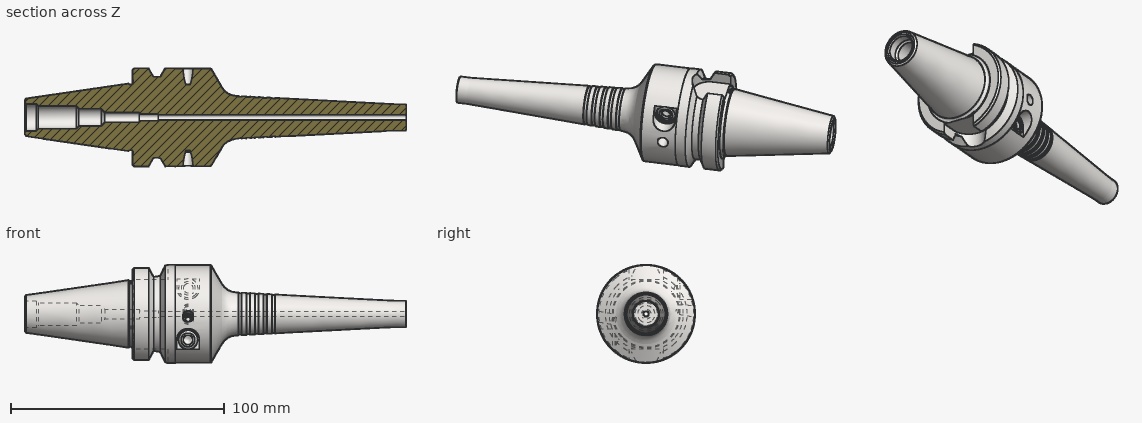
import cadquery as cq
import math

LENGTH = 178.4

TAPER_RATIO = 7 / 24
TAPER_LENGTH = 48.5
TAPER_LARGE_RADIUS = 15.9
TAPER_SMALL_RADIUS = TAPER_LARGE_RADIUS - TAPER_LENGTH * TAPER_RATIO / 2
SHANK_CHAMFER_LENGTH = 0.7
SHANK_CHAMFER_DEPTH = 0.9
RELIEF_RADIUS = 30.9 / 2
RELIEF_BEVEL = 0.5
RELIEF_FILLET = 1.0
FACE_RECESS_RADIUS = 17.3
FACE_RECESS_DEPTH = 0.4

FLANGE_RADIUS = 46.0 / 2
FLANGE_START = 50.3
FLANGE_CHAMFER = 0.9
GROOVE_EDGE_START = 58.0
GROOVE_EDGE_END = 65.7
GROOVE_ROOT_RADIUS = 19.0
GROOVE_FLANK_ANGLE = 30.0
GROOVE_FLANK = (FLANGE_RADIUS - GROOVE_ROOT_RADIUS) * math.tan(math.radians(GROOVE_FLANK_ANGLE))
FLANGE_END = 70.5

BODY_RADIUS = 45.8 / 2
BODY_END = 87.2
BODY_BEVEL_LENGTH = 0.5
BODY_BEVEL_DEPTH = 0.2
SHOULDER_ANGLE = 60.0
SHOULDER_FILLET = 8.0

NECK_HALF_ANGLE = 3.0
NOSE_RADIUS = 12.5 / 2
NOSE_LENGTH = 5.4
NOSE_START = LENGTH - NOSE_LENGTH
NOSE_CHAMFER = 0.4
NECK_SLOPE = math.tan(math.radians(NECK_HALF_ANGLE))

RING_COUNT = 5
RING_FIRST = 99.7
RING_PITCH = 4.0
RING_WIDTH = 1.8
RING_DEPTH = 0.27

SLOT_WIDTH = 16.0
SLOT_FLOOR = 16.2
SLOT_END = 66.9

POCKET_X = 76.4
POCKET_Z = 12.1
POCKET_DIAMETER = 10.5
POCKET_FLOOR = 15.9
SCREW_DIAMETER = 9.0
SCREW_TIP_DIAMETER = 6.5
SCREW_CHAMFER = (SCREW_DIAMETER - SCREW_TIP_DIAMETER) / 2
SOCKET_DIAMETER = 4.5
SOCKET_DEPTH = 1.8

SIDE_HOLE_DIAMETER = 5.0
SIDE_HOLE_Z = 1.0
SIDE_HOLE_DEPTH = 7.1
SIDE_HOLE_TILT = 10.0
SIDE_HOLE_LEAD_IN = 1.8
SIDE_STEP_DIAMETERS = (4.0, 2.3)
SIDE_STEP_DEPTH = 0.9

MOUTH_DIAMETER = 14.0
PILOT_DIAMETER = 12.5
PILOT_DEPTH = 5.4
THREAD_DIAMETER = 10.5
THREAD_DEPTH = 24.0
MIDDLE_DIAMETER = 8.0
MIDDLE_DEPTH = 35.7
INNER_DIAMETER = 4.5
INNER_DEPTH = 53.5
COOLANT_DIAMETER = 3.0
COOLANT_DEPTH = 62.5
THROUGH_DIAMETER = 2.3


def neck_radius(x):
    """Radius of the neck cone at position x."""
    return NOSE_RADIUS + (NOSE_START - x) * NECK_SLOPE


def revolve_about_x(points):
    return cq.Workplane("XY").polyline(points).close().revolve(360, (0, 0, 0), (1, 0, 0))


def circle_at(x, radius):
    """Selects the circular edge of this radius at position x."""
    margin = 0.09
    reach = radius + margin
    return cq.selectors.BoxSelector(
        (x - margin, -reach, -reach), (x + margin, reach, reach), boundingbox=True
    )


def turned_body():
    recess_floor = FLANGE_START + FACE_RECESS_DEPTH
    bevel_radius = BODY_RADIUS - BODY_BEVEL_DEPTH
    shoulder_slope = math.tan(math.radians(SHOULDER_ANGLE))
    neck_start = BODY_END + (bevel_radius - neck_radius(BODY_END)) / (shoulder_slope - NECK_SLOPE)
    points = [
        (0, 0),
        (0, TAPER_SMALL_RADIUS - SHANK_CHAMFER_DEPTH),
        (SHANK_CHAMFER_LENGTH, TAPER_SMALL_RADIUS + SHANK_CHAMFER_LENGTH * TAPER_RATIO / 2),
        (TAPER_LENGTH, TAPER_LARGE_RADIUS),
        (TAPER_LENGTH + RELIEF_BEVEL, RELIEF_RADIUS),
        (recess_floor, RELIEF_RADIUS),
        (recess_floor, FACE_RECESS_RADIUS),
        (FLANGE_START, FACE_RECESS_RADIUS),
        (FLANGE_START, FLANGE_RADIUS - FLANGE_CHAMFER),
        (FLANGE_START + FLANGE_CHAMFER, FLANGE_RADIUS),
        (GROOVE_EDGE_START, FLANGE_RADIUS),
        (GROOVE_EDGE_START + GROOVE_FLANK, GROOVE_ROOT_RADIUS),
        (GROOVE_EDGE_END - GROOVE_FLANK, GROOVE_ROOT_RADIUS),
        (GROOVE_EDGE_END, FLANGE_RADIUS),
        (FLANGE_END, FLANGE_RADIUS),
        (FLANGE_END, BODY_RADIUS),
        (BODY_END - BODY_BEVEL_LENGTH, BODY_RADIUS),
        (BODY_END, bevel_radius),
        (neck_start, neck_radius(neck_start)),
        (NOSE_START, NOSE_RADIUS),
        (LENGTH - NOSE_CHAMFER, NOSE_RADIUS),
        (LENGTH, NOSE_RADIUS - NOSE_CHAMFER),
        (LENGTH, 0),
    ]
    body = revolve_about_x(points)
    body = body.edges(circle_at(recess_floor, RELIEF_RADIUS)).fillet(RELIEF_FILLET)
    return body.edges(circle_at(neck_start, neck_radius(neck_start))).fillet(SHOULDER_FILLET)


def neck_ring(start):
    """Cutter for one ring groove, whose floor follows the neck cone."""
    end = start + RING_WIDTH
    top_clearance = 1.8
    return revolve_about_x([
        (start, neck_radius(start)),
        (start, neck_radius(start) + top_clearance),
        (end, neck_radius(end) + top_clearance),
        (end, neck_radius(end)),
        (end - RING_DEPTH, neck_radius(end) - RING_DEPTH),
        (start + RING_DEPTH, neck_radius(start) - RING_DEPTH),
    ])


def drive_slot():
    """Slot open towards the shank, with a round end, on the +Z side."""
    half = SLOT_WIDTH / 2
    return (
        cq.Workplane("XY", origin=(0, 0, SLOT_FLOOR))
        .moveTo(TAPER_LENGTH, -half)
        .lineTo(SLOT_END - half, -half)
        .threePointArc((SLOT_END, 0), (SLOT_END - half, half))
        .lineTo(TAPER_LENGTH, half)
        .close()
        .extrude(FLANGE_RADIUS)
    )


def screw_pocket():
    """U-shaped pocket on the -Y side, open downwards, with a flush socket screw in its floor."""
    half = POCKET_DIAMETER / 2
    pocket = (
        cq.Workplane("XZ", origin=(POCKET_X, -POCKET_FLOOR, -POCKET_Z))
        .moveTo(-half, -BODY_RADIUS)
        .lineTo(-half, 0)
        .threePointArc((0, half), (half, 0))
        .lineTo(half, -BODY_RADIUS)
        .close()
        .extrude(BODY_RADIUS)
    )
    cone_depth = SOCKET_DEPTH + SOCKET_DIAMETER / 4
    chamfer_gap = [
        (SCREW_TIP_DIAMETER / 2, 0),
        (SCREW_DIAMETER / 2, 0),
        (SCREW_DIAMETER / 2, SCREW_CHAMFER),
    ]
    socket = [(0, 0), (SOCKET_DIAMETER / 2, 0), (SOCKET_DIAMETER / 2, SOCKET_DEPTH), (0, cone_depth)]
    for section in (chamfer_gap, socket):
        cutter = cq.Workplane("XY").polyline(section).close().revolve(360, (0, 0, 0), (0, 1, 0))
        pocket = pocket.union(cutter.translate((POCKET_X, -POCKET_FLOOR, -POCKET_Z)))
    return pocket


def side_hole():
    """Stepped blind hole on the -Y side, sloping down into the body."""
    mouth = (POCKET_X, -BODY_RADIUS, -SIDE_HOLE_Z)
    hole = (
        cq.Workplane("XZ", origin=(0, SIDE_HOLE_DEPTH, 0))
        .circle(SIDE_HOLE_DIAMETER / 2)
        .extrude(SIDE_HOLE_DEPTH + SIDE_HOLE_LEAD_IN)
    )
    depth = SIDE_HOLE_DEPTH
    for diameter in SIDE_STEP_DIAMETERS:
        depth += SIDE_STEP_DEPTH
        step = cq.Workplane("XZ", origin=(0, depth, 0)).circle(diameter / 2).extrude(depth)
        hole = hole.union(step)
    return hole.rotate((0, 0, 0), (1, 0, 0), -SIDE_HOLE_TILT).translate(mouth)


def bore():
    """Stepped bore from the shank end, open through to the nose."""
    mouth_chamfer = (MOUTH_DIAMETER - PILOT_DIAMETER) / 2
    pilot_step = (PILOT_DIAMETER - THREAD_DIAMETER) / 2
    thread_step = (THREAD_DIAMETER - MIDDLE_DIAMETER) / 2
    middle_step = (MIDDLE_DIAMETER - INNER_DIAMETER) / 2
    return revolve_about_x([
        (0, 0),
        (0, MOUTH_DIAMETER / 2),
        (mouth_chamfer, PILOT_DIAMETER / 2),
        (PILOT_DEPTH, PILOT_DIAMETER / 2),
        (PILOT_DEPTH + pilot_step, THREAD_DIAMETER / 2),
        (THREAD_DEPTH, THREAD_DIAMETER / 2),
        (THREAD_DEPTH + thread_step, MIDDLE_DIAMETER / 2),
        (MIDDLE_DEPTH, MIDDLE_DIAMETER / 2),
        (MIDDLE_DEPTH + middle_step, INNER_DIAMETER / 2),
        (INNER_DEPTH, INNER_DIAMETER / 2),
        (INNER_DEPTH, COOLANT_DIAMETER / 2),
        (COOLANT_DEPTH, COOLANT_DIAMETER / 2),
        (COOLANT_DEPTH, THROUGH_DIAMETER / 2),
        (LENGTH, THROUGH_DIAMETER / 2),
        (LENGTH, 0),
    ])


holder = turned_body().cut(bore())
for i in range(RING_COUNT):
    holder = holder.cut(neck_ring(RING_FIRST + i * RING_PITCH))

for cutter in (drive_slot(), screw_pocket(), side_hole()):
    for turn in (0, 180):
        holder = holder.cut(cutter.rotate((0, 0, 0), (1, 0, 0), turn))

result = holder